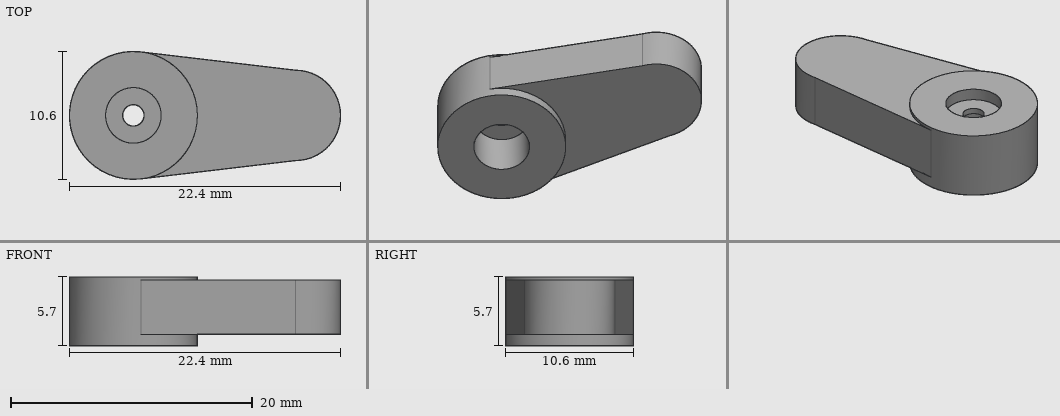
import cadquery as cq
import math

length = 22.45
hub_radius = 5.3
hub_height = 5.7
tip_radius = 3.75
arm_bottom = 0.95
arm_thickness = 4.51
bore_diameter = 1.75
recess_diameter = 4.6
top_recess_depth = 1.0
web_thickness = 0.5

tip_x = length - hub_radius - tip_radius
tangent_sine = (hub_radius - tip_radius) / tip_x
tangent_cosine = math.sqrt(1 - tangent_sine**2)
arm_root_x = hub_radius * tangent_sine
arm_root_y = hub_radius * tangent_cosine

bottom_recess_depth = hub_height - top_recess_depth - web_thickness


def make_hub():
    return cq.Workplane("XY").circle(hub_radius).extrude(hub_height)


def make_arm():
    """Tapered plate running from the hub to a half-round tip."""
    return (
        cq.Workplane("XY", origin=(0, 0, arm_bottom))
        .moveTo(arm_root_x, -arm_root_y)
        .lineTo(tip_x, -tip_radius)
        .threePointArc((tip_x + tip_radius, 0), (tip_x, tip_radius))
        .lineTo(arm_root_x, arm_root_y)
        .close()
        .extrude(arm_thickness)
    )


def axial_hole(diameter, depth, bottom=0):
    """Cylinder to cut along the hub axis, starting at the given height."""
    return cq.Workplane("XY", origin=(0, 0, bottom)).circle(diameter / 2).extrude(depth)


result = (
    make_hub()
    .union(make_arm())
    .cut(axial_hole(bore_diameter, hub_height))
    .cut(axial_hole(recess_diameter, top_recess_depth, hub_height - top_recess_depth))
    .cut(axial_hole(recess_diameter, bottom_recess_depth))
)